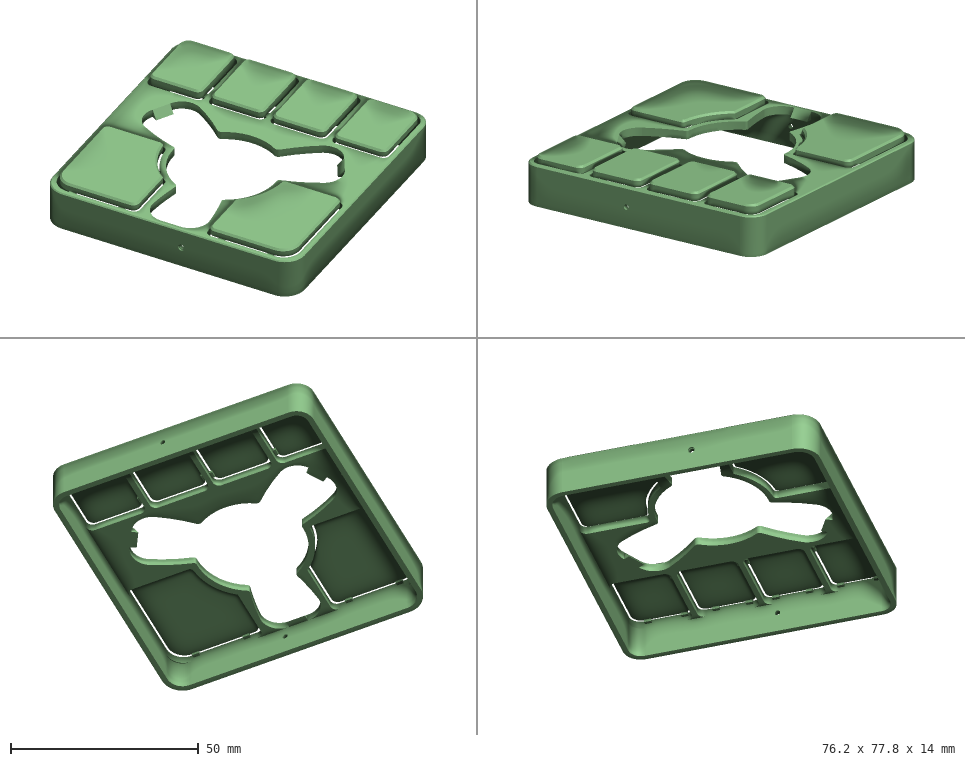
import cadquery as cq
import math

WIDTH = 76.2
LENGTH = 77.85
TOTAL_HEIGHT = 14.0
CASE_HEIGHT = 11.5
PLATE_THICKNESS = 2.3
WALL = 1.55
FRONT_CORNER_RADIUS = 6.0
REAR_CORNER_RADIUS = 5.0
CASE_CHAMFER = 0.3

INNER_X = WIDTH / 2 - WALL
INNER_Y = LENGTH / 2 - WALL
PLATE_BOTTOM = CASE_HEIGHT - PLATE_THICKNESS

KEY_GAP = 0.6
KEY_SINK = 0.2
KEY_BOTTOM = CASE_HEIGHT - KEY_SINK
KEY_CHAMFER = 0.55
KEY_CORNER = 1.9
BRIDGE_WIDTH = 1.95
BRIDGE_LENGTH = 1.9
BRIDGE_THICKNESS = 0.8

SMALL_SLOT_WIDTH = 17.1
SMALL_SLOT_LENGTH = 21.5
SMALL_OUTER_CORNER = 3.0
SMALL_KEY_TOP_STEP = 0.2
SIDE_BRIDGE_OFFSET = 3.3
SLOT_DIVIDER = 1.5
SMALL_BRIDGE_X = (3.65, 13.0, 21.8, 32.1)

LARGE_SLOT_WIDTH = 26.3
LARGE_SLOT_LENGTH = 30.0
LARGE_OUTER_CORNER = 5.0
LARGE_REAR_GAP = 0.3
LARGE_ARC_RADIUS = 17.3
LARGE_ARC_CORNER = 1.1
LARGE_KEY_TOP = 13.5
LARGE_BRIDGE_X = (15.1, 30.0)

OPENING_Y = -7.25
HUB_RADIUS = 15.6
LOBE_NECK = (6.7, 13.6)
LOBE_FLANK = (8.1, 20.55)
LOBE_HALF_WIDTH = 8.6
LOBE_TIP_RADIUS = 5.6
REAR_LOBE_REACH = 32.0
FRONT_LOBE_REACH = OPENING_Y + INNER_Y
REAR_NOTCH_FILLET = 1.25
SIDE_NOTCH_FILLET = 0.8
LOBE_REACHES = {0: FRONT_LOBE_REACH, 120: REAR_LOBE_REACH, 240: REAR_LOBE_REACH}

CATCH_WIDTH = 5.45
CATCH_DEPTH = 1.9

HOLE_X = 4.0
HOLE_Z = 6.0
HOLE_DIAMETER = 1.5
HOLE_MOUTH_DIAMETER = 1.9
HOLE_MOUTH_DEPTH = 0.5


def case_blank():
    body = cq.Workplane("XY").box(WIDTH, LENGTH, CASE_HEIGHT, centered=(True, True, False))
    body = body.edges("|Z and <Y").fillet(FRONT_CORNER_RADIUS)
    body = body.edges("|Z and >Y").fillet(REAR_CORNER_RADIUS)
    body = body.faces(">Z").edges().chamfer(CASE_CHAMFER)
    cavity = cq.Workplane("XY").box(2 * INNER_X, 2 * INNER_Y, PLATE_BOTTOM, centered=(True, True, False))
    cavity = cavity.edges("|Z and <Y").fillet(FRONT_CORNER_RADIUS - WALL)
    cavity = cavity.edges("|Z and >Y").fillet(REAR_CORNER_RADIUS - WALL)
    return body.cut(cavity)


def lobe(reach):
    """Lobe pointing to -Y from the origin, with bulging flanks and rounded tip corners."""
    neck_x, neck_y = LOBE_NECK
    flank_x, flank_y = LOBE_FLANK
    flat = LOBE_HALF_WIDTH - LOBE_TIP_RADIUS
    shoulder = reach - LOBE_TIP_RADIUS
    diagonal = LOBE_TIP_RADIUS * math.sqrt(0.5)
    return (
        cq.Workplane("XY", origin=(0, 0, PLATE_BOTTOM))
        .moveTo(neck_x, 0)
        .lineTo(neck_x, -neck_y)
        .threePointArc((flank_x, -flank_y), (LOBE_HALF_WIDTH, -shoulder))
        .threePointArc((flat + diagonal, -shoulder - diagonal), (flat, -reach))
        .lineTo(-flat, -reach)
        .threePointArc((-flat - diagonal, -shoulder - diagonal), (-LOBE_HALF_WIDTH, -shoulder))
        .threePointArc((-flank_x, -flank_y), (-neck_x, -neck_y))
        .lineTo(-neck_x, 0)
        .close()
        .extrude(PLATE_THICKNESS)
    )


def place_lobe(shape, angle):
    return shape.rotate((0, 0, 0), (0, 0, 1), angle).translate((0, OPENING_Y, 0))


def opening():
    hub = cq.Workplane("XY", origin=(0, OPENING_Y, PLATE_BOTTOM)).circle(HUB_RADIUS).extrude(PLATE_THICKNESS)
    for angle, reach in LOBE_REACHES.items():
        hub = hub.union(place_lobe(lobe(reach), angle))
    notch_reach = HUB_RADIUS + 0.8

    def notches(low_y, high_y):
        box = cq.selectors.BoxSelector((-notch_reach, low_y, 0), (notch_reach, high_y, CASE_HEIGHT))
        return hub.edges("|Z").edges(box)

    hub = notches(OPENING_Y + HUB_RADIUS / 2, OPENING_Y + HUB_RADIUS).fillet(REAR_NOTCH_FILLET)
    hub = notches(OPENING_Y - HUB_RADIUS, OPENING_Y + HUB_RADIUS / 2).fillet(SIDE_NOTCH_FILLET)
    return hub


def catch(reach):
    """Wedge that leans in from the top edge of a lobe tip to the underside of the plate."""
    return (
        cq.Workplane("YZ", origin=(-CATCH_WIDTH / 2, 0, 0))
        .moveTo(-reach, CASE_HEIGHT)
        .lineTo(-reach, PLATE_BOTTOM)
        .lineTo(-reach + CATCH_DEPTH, PLATE_BOTTOM)
        .close()
        .extrude(CATCH_WIDTH)
    )


def plate_prism(left, right, front, rear, bottom, top):
    """Rectangular prism between two heights."""
    return cq.Workplane("XY", origin=(left, front, bottom)).box(
        right - left, rear - front, top - bottom, centered=False
    )


def small_prism(left, right, front, rear, bottom, top, outer_radius):
    """Prism with the corner at +X, +Y rounded to its own radius."""
    prism = plate_prism(left, right, front, rear, bottom, top)
    prism = prism.edges("|Z and >X and >Y").fillet(outer_radius)
    return prism.edges("|Z and (<Y or <X)").fillet(KEY_CORNER)


def large_prism(left, right, front, rear, bottom, top, arc_radius):
    """Prism on the +X side with its -X, +Y corner cut by an arc around the opening."""
    prism = plate_prism(left, right, front, rear, bottom, top)
    prism = prism.edges("|Z and >X and <Y").fillet(LARGE_OUTER_CORNER)
    prism = prism.edges("|Z and ((>X and >Y) or (<X and <Y))").fillet(KEY_CORNER)
    arc = cq.Workplane("XY", origin=(0, OPENING_Y, bottom)).circle(arc_radius).extrude(top - bottom)
    prism = prism.cut(arc)
    middle_x = (left + right) / 2
    arc_end = cq.selectors.BoxSelector((left, rear - 0.1, bottom), (middle_x, rear + 0.1, top))
    return prism.edges("|Z").edges(arc_end).fillet(LARGE_ARC_CORNER)


def mirrored(shape, side):
    return shape if side > 0 else shape.mirror("YZ")


def bridge(x, y, x_size, y_size):
    block = cq.Workplane("XY", origin=(x, y, KEY_BOTTOM - BRIDGE_THICKNESS))
    return block.box(x_size, y_size, BRIDGE_THICKNESS, centered=(True, True, False))


def chamfer_top(key):
    return key.faces(">Z").edges().chamfer(KEY_CHAMFER)


def small_key(side, left, right, outer_radius, key_top):
    """Slot, key and side bridge at one place in the rear row."""
    front = INNER_Y - SMALL_SLOT_LENGTH
    slot = small_prism(left, right, front, INNER_Y, PLATE_BOTTOM, CASE_HEIGHT, outer_radius)
    key = small_prism(
        left + KEY_GAP, right - KEY_GAP, front + KEY_GAP, INNER_Y - KEY_GAP,
        KEY_BOTTOM, key_top, outer_radius,
    )
    side_bridge = bridge(left, front + SIDE_BRIDGE_OFFSET, BRIDGE_LENGTH, BRIDGE_WIDTH)
    return [mirrored(shape, side) for shape in (slot, chamfer_top(key), side_bridge)]


def large_key(side):
    """Slot and key at one front corner."""
    left = INNER_X - LARGE_SLOT_WIDTH
    rear = -INNER_Y + LARGE_SLOT_LENGTH
    slot = large_prism(left, INNER_X, -INNER_Y, rear, PLATE_BOTTOM, CASE_HEIGHT, LARGE_ARC_RADIUS)
    key = large_prism(
        left + KEY_GAP, INNER_X - KEY_GAP, -INNER_Y + KEY_GAP, rear - LARGE_REAR_GAP,
        KEY_BOTTOM, LARGE_KEY_TOP, LARGE_ARC_RADIUS + KEY_GAP,
    )
    return [mirrored(shape, side) for shape in (slot, chamfer_top(key))]


slots = []
additions = []

inner_span = (SLOT_DIVIDER / 2, SLOT_DIVIDER / 2 + SMALL_SLOT_WIDTH, KEY_CORNER)
outer_span = (INNER_X - SMALL_SLOT_WIDTH, INNER_X, SMALL_OUTER_CORNER)
small_places = ((-1, outer_span), (-1, inner_span), (1, inner_span), (1, outer_span))
for position, (side, span) in enumerate(small_places):
    slot, key, side_bridge = small_key(side, *span, TOTAL_HEIGHT - position * SMALL_KEY_TOP_STEP)
    slots.append(slot)
    additions += [key, side_bridge]

for side in (-1, 1):
    slot, key = large_key(side)
    slots.append(slot)
    additions.append(key)
    for x in SMALL_BRIDGE_X:
        additions.append(bridge(side * x, INNER_Y, BRIDGE_WIDTH, BRIDGE_LENGTH))
    for x in LARGE_BRIDGE_X:
        additions.append(bridge(side * x, -INNER_Y, BRIDGE_WIDTH, BRIDGE_LENGTH))

result = case_blank().cut(opening())
for slot in slots:
    result = result.cut(slot)
for part in additions:
    result = result.union(part)
for angle, reach in LOBE_REACHES.items():
    result = result.union(place_lobe(catch(reach), angle))

hole = cq.Workplane("XZ", origin=(HOLE_X, LENGTH / 2, HOLE_Z)).circle(HOLE_DIAMETER / 2).extrude(LENGTH)
mouth = (
    cq.Workplane("XZ", origin=(HOLE_X, -LENGTH / 2 + HOLE_MOUTH_DEPTH, HOLE_Z))
    .circle(HOLE_MOUTH_DIAMETER / 2)
    .extrude(HOLE_MOUTH_DEPTH)
)
result = result.cut(hole).cut(mouth)